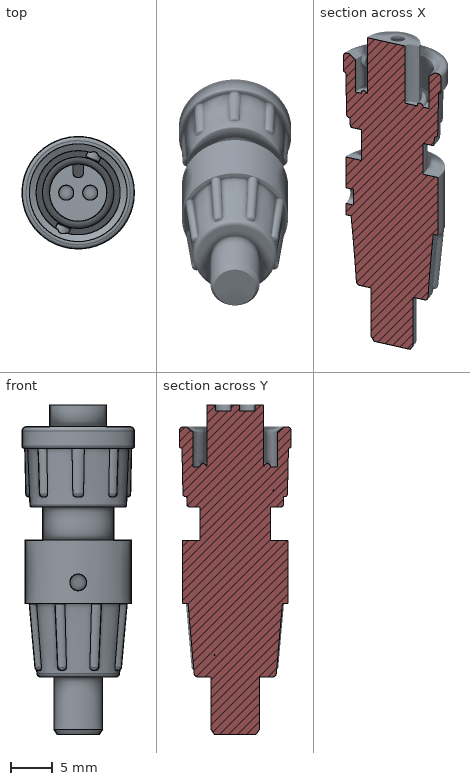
import cadquery as cq
import math

TOTAL_LENGTH = 39.62

STUB_RADIUS = 2.94
STUB_END_RADIUS = 2.5
STUB_CHAMFER_HEIGHT = 0.63

NUT_BOTTOM_Z = 6.9
NUT_BOTTOM_RADIUS = 4.93
NUT_TOP_RADIUS = 5.7
NUT_FILLET = 0.5
NUT_RIB_BOTTOM_Z = NUT_BOTTOM_Z + 0.83
NUT_RIB_BOTTOM_RADIUS = 0.55
NUT_RIB_TOP_RADIUS = 0.62
NUT_RIB_END_FILLET = 0.4
NUT_RIB_START_ANGLE = 22.5

BODY_BOTTOM_Z = 15.75
BODY_TOP_Z = 23.37
BODY_RADIUS = 6.38
NECK_RADIUS = 4.28
SIDE_HOLE_RADIUS = 1.0
SIDE_HOLE_DEPTH = 1.0
SIDE_HOLE_Z = 18.28

RING_BOTTOM_Z = 27.34
RING_BOTTOM_RADIUS = 5.8
RING_TOP_RADIUS = 6.13
RING_BOTTOM_FILLET = 0.25
RIM_BOTTOM_Z = 34.38
RIM_TOP_Z = 36.98
RIM_RADIUS = 6.755
RIM_TOP_FILLET = 0.5
RIM_BOTTOM_FILLET = 0.28
MOUTH_RADIUS = 5.87
BORE_RADIUS = 5.05
MOUTH_CHAMFER_HEIGHT = 0.63
BORE_DEPTH = 4.83
RING_RIB_BOTTOM_Z = RING_BOTTOM_Z + 1.2
RING_RIB_BOTTOM_OFFSET = 5.64
RING_RIB_TOP_OFFSET = 5.49
RING_RIB_BOTTOM_RADIUS = 0.66
RING_RIB_TOP_RADIUS = 0.95
RING_RIB_END_FILLET = 0.38
RIB_COUNT = 8

PIN_RADIUS = 0.86
PIN_INNER_REACH = 4.33
PIN_OUTER_REACH = 5.6
PIN_DROP = 1.3
PIN_TIP_FILLET = 0.1
PIN_ANGLES = (67.0, 247.0)

INSERT_RADIUS = 3.43
CONTACT_RADIUS = 0.9
CONTACT_SPACING = 2.88
CONTACT_DEPTH = 0.7
KEYWAY_WIDTH = 1.3
KEYWAY_BOTTOM_Y = 1.8
SEAL_SECTION_RADIUS = 0.43

BORE_FLOOR_Z = RIM_TOP_Z - BORE_DEPTH


def cylinder(radius, bottom_z, top_z):
    return cq.Workplane("XY", origin=(0, 0, bottom_z)).circle(radius).extrude(top_z - bottom_z)


def frustum(bottom_radius, top_radius, height):
    """Upright cone frustum with its bottom on Z = 0."""
    outline = [(0, 0), (bottom_radius, 0), (top_radius, height), (0, height)]
    return cq.Workplane("XZ").polyline(outline).close().revolve(360, (0, 0, 0), (0, 1, 0))


def make_rib(bottom_radius, top_radius, bottom_offset, top_offset, height, end_fillet):
    """Round tapered rib over +X, its axis leaning from the bottom to the top offset."""
    lean = math.degrees(math.atan2(top_offset - bottom_offset, height))
    rib = frustum(bottom_radius, top_radius, height)
    rib = rib.faces("<Z").edges().fillet(end_fillet)
    return rib.rotate((0, 0, 0), (0, 1, 0), lean).translate((bottom_offset, 0, 0))


def spread_ribs(part, rib, start_angle):
    """Add copies of the rib evenly around Z."""
    for index in range(RIB_COUNT):
        angle = start_angle + index * 360 / RIB_COUNT
        part = part.union(rib.rotate((0, 0, 0), (0, 0, 1), angle))
    return part


def make_stub():
    chamfer_width = STUB_RADIUS - STUB_END_RADIUS
    stub = cylinder(STUB_RADIUS, 0, NUT_BOTTOM_Z)
    return stub.faces("<Z").chamfer(STUB_CHAMFER_HEIGHT, chamfer_width)


def make_clamp_nut():
    nut = frustum(NUT_BOTTOM_RADIUS, NUT_TOP_RADIUS, BODY_BOTTOM_Z - NUT_BOTTOM_Z)
    nut = nut.faces("<Z").edges().fillet(NUT_FILLET).translate((0, 0, NUT_BOTTOM_Z))

    taper = (NUT_TOP_RADIUS - NUT_BOTTOM_RADIUS) / (BODY_BOTTOM_Z - NUT_BOTTOM_Z)
    rib = make_rib(
        NUT_RIB_BOTTOM_RADIUS,
        NUT_RIB_TOP_RADIUS,
        NUT_BOTTOM_RADIUS + taper * (NUT_RIB_BOTTOM_Z - NUT_BOTTOM_Z),
        NUT_TOP_RADIUS,
        BODY_BOTTOM_Z - NUT_RIB_BOTTOM_Z,
        NUT_RIB_END_FILLET,
    )
    return spread_ribs(nut, rib.translate((0, 0, NUT_RIB_BOTTOM_Z)), NUT_RIB_START_ANGLE)


def make_body():
    body = cylinder(BODY_RADIUS, BODY_BOTTOM_Z, BODY_TOP_Z)
    hole = (
        cq.Workplane("XZ", origin=(0, -(BODY_RADIUS - SIDE_HOLE_DEPTH), SIDE_HOLE_Z))
        .circle(SIDE_HOLE_RADIUS)
        .extrude(2 * SIDE_HOLE_DEPTH)
    )
    return body.cut(hole)


def make_coupling_ring():
    skirt_top_z = RIM_BOTTOM_Z + RIM_BOTTOM_FILLET
    ring = frustum(RING_BOTTOM_RADIUS, RING_TOP_RADIUS, skirt_top_z - RING_BOTTOM_Z)
    ring = ring.faces("<Z").edges().fillet(RING_BOTTOM_FILLET).translate((0, 0, RING_BOTTOM_Z))
    rim = cylinder(RIM_RADIUS, RIM_BOTTOM_Z, RIM_TOP_Z)
    rim = rim.faces(">Z").edges().fillet(RIM_TOP_FILLET)
    rim = rim.faces("<Z").edges().fillet(RIM_BOTTOM_FILLET)

    rib = make_rib(
        RING_RIB_BOTTOM_RADIUS,
        RING_RIB_TOP_RADIUS,
        RING_RIB_BOTTOM_OFFSET,
        RING_RIB_TOP_OFFSET,
        skirt_top_z - RING_RIB_BOTTOM_Z,
        RING_RIB_END_FILLET,
    )
    rib = rib.translate((0, 0, RING_RIB_BOTTOM_Z))
    ring = spread_ribs(ring.union(rim), rib, 0)

    mouth = frustum(BORE_RADIUS, MOUTH_RADIUS, MOUTH_CHAMFER_HEIGHT)
    ring = ring.cut(mouth.translate((0, 0, RIM_TOP_Z - MOUTH_CHAMFER_HEIGHT)))
    ring = ring.cut(cylinder(BORE_RADIUS, BORE_FLOOR_Z, RIM_TOP_Z))

    pin = (
        cq.Workplane("YZ", origin=(PIN_INNER_REACH, 0, RIM_TOP_Z - PIN_DROP))
        .circle(PIN_RADIUS)
        .extrude(PIN_OUTER_REACH - PIN_INNER_REACH)
        .faces("<X")
        .edges()
        .fillet(PIN_TIP_FILLET)
    )
    for angle in PIN_ANGLES:
        ring = ring.union(pin.rotate((0, 0, 0), (0, 0, 1), angle))
    return ring


def make_insert():
    insert = cylinder(INSERT_RADIUS, BORE_FLOOR_Z, TOTAL_LENGTH)
    contacts = (
        cq.Workplane("XY", origin=(0, 0, TOTAL_LENGTH))
        .pushPoints([(-CONTACT_SPACING / 2, 0), (CONTACT_SPACING / 2, 0)])
        .circle(CONTACT_RADIUS)
        .extrude(-CONTACT_DEPTH)
    )

    half_width = KEYWAY_WIDTH / 2
    keyway = (
        cq.Workplane("XY", origin=(0, 0, BORE_FLOOR_Z))
        .moveTo(-half_width, INSERT_RADIUS + half_width)
        .lineTo(-half_width, KEYWAY_BOTTOM_Y + half_width)
        .threePointArc((0, KEYWAY_BOTTOM_Y), (half_width, KEYWAY_BOTTOM_Y + half_width))
        .lineTo(half_width, INSERT_RADIUS + half_width)
        .close()
        .extrude(TOTAL_LENGTH - BORE_FLOOR_Z)
    )
    return insert.cut(contacts).cut(keyway)


def make_seal():
    """Half-round ring on the bore floor, close around the insert."""
    centre_radius = INSERT_RADIUS + SEAL_SECTION_RADIUS
    return (
        cq.Workplane("XZ")
        .moveTo(centre_radius - SEAL_SECTION_RADIUS, 0)
        .threePointArc((centre_radius, SEAL_SECTION_RADIUS), (centre_radius + SEAL_SECTION_RADIUS, 0))
        .close()
        .revolve(360, (0, 0, 0), (0, 1, 0))
        .translate((0, 0, BORE_FLOOR_Z))
    )


neck = cylinder(NECK_RADIUS, BODY_TOP_Z, RING_BOTTOM_Z)

result = (
    make_stub()
    .union(make_clamp_nut())
    .union(make_body())
    .union(neck)
    .union(make_coupling_ring())
    .union(make_insert())
    .union(make_seal())
)